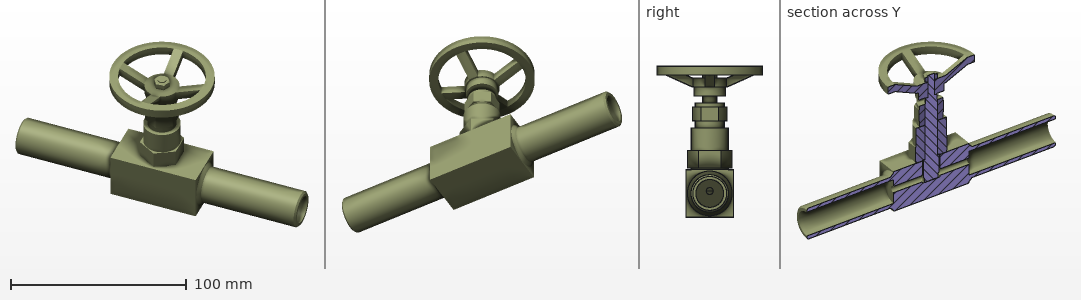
import cadquery as cq
import math

overall_length = 172.0
block_length = 52.3
block_side = 27.2
pipe_diameter = 21.3
pipe_bore = 15.8
pipe_end_chamfer = 1.0
weld_size = 2.0
port_diameter = 4.0
port_rise = 1.4
cavity_diameter = 12.0
cavity_floor = 12.0

bonnet_diameter = 21.3
bonnet_hex_flats = 22.0
bonnet_hex_bottom = 28.0
bonnet_hex_top = 38.0
bonnet_top = 50.9

gland_diameter = 16.7
gland_hex_flats = 17.0
gland_hex_bottom = 54.9
gland_hex_top = 62.8
gland_top = 65.0

overall_height = 86.0
wheel_diameter = 60.0
rim_inner_diameter = 49.9
rim_height = 5.2
hub_diameter = 20.0
hub_drop = 6.7
boss_diameter = 18.0
boss_height = 5.2
spoke_width = 5.7
spoke_count = 4

nut_flats = 8.0
nut_height = 3.6
nut_face_diameter = 7.7
nut_turn = 5.0
nut_bevel_angle = 30.0

stem_diameter = 8.0
stem_collar_diameter = 11.0
stem_tip_diameter = 9.8
stud_diameter = 5.0
stud_protrusion = 0.9

flats_along_x = 30

pipe_axis = block_side / 2
port_axis = pipe_axis + port_rise
rim_bottom = overall_height - rim_height
hub_top = overall_height - hub_drop
hub_bottom = hub_top - rim_height
boss_bottom = hub_bottom - boss_height
nut_top = hub_top + nut_height
stud_top = nut_top + stud_protrusion


def cylinder_z(diameter, bottom, top):
    return cq.Workplane("XY").workplane(offset=bottom).circle(diameter / 2).extrude(top - bottom)


def cylinder_x(diameter, start, end, level):
    plane = cq.Workplane("YZ", origin=(start, 0, level))
    return plane.circle(diameter / 2).extrude(end - start)


def across_corners(across_flats):
    """Corner-to-corner width of a hexagon, from its width across flats."""
    return across_flats / math.cos(math.radians(30))


def hexagon_z(across_flats, bottom, top, turn):
    """Hexagonal prism about Z; a turn of zero points two corners along X."""
    outline = cq.Workplane("XY").workplane(offset=bottom).polygon(6, across_corners(across_flats))
    return outline.extrude(top - bottom).rotate((0, 0, 0), (0, 0, 1), turn)


def make_weld():
    """Conical weld bead around the pipe root on the +X face of the block."""
    pipe_radius = pipe_diameter / 2
    bead = cq.Workplane("XZ", origin=(block_length / 2, 0, pipe_axis))
    bead = bead.polyline([(0, 0), (0, pipe_radius + weld_size), (weld_size, pipe_radius), (weld_size, 0)])
    return bead.close().revolve(360, (0, 0), (1, 0))


def make_body():
    half_length = overall_length / 2
    half_block = block_length / 2
    block = cq.Workplane("XY").box(block_length, block_side, block_side, centered=(True, True, False))
    pipe = cylinder_x(pipe_diameter, -half_length, half_length, pipe_axis)
    pipe = pipe.faces("<X or >X").chamfer(pipe_end_chamfer)
    weld = make_weld()
    body = block.union(pipe).union(weld).union(weld.mirror("YZ"))
    for start, end in ((-half_length, -half_block), (half_block, half_length)):
        body = body.cut(cylinder_x(pipe_bore, start, end, pipe_axis))
    body = body.cut(cylinder_x(port_diameter, -half_block, half_block, port_axis))
    return body.cut(cylinder_z(cavity_diameter, cavity_floor, block_side))


def make_bonnet():
    bonnet = cylinder_z(bonnet_diameter, block_side, bonnet_top)
    bonnet = bonnet.union(hexagon_z(bonnet_hex_flats, bonnet_hex_bottom, bonnet_hex_top, flats_along_x))
    return bonnet.cut(cylinder_z(stem_diameter, block_side, bonnet_top))


def make_gland_nut():
    gland = cylinder_z(gland_diameter, bonnet_top, gland_top)
    gland = gland.union(hexagon_z(gland_hex_flats, gland_hex_bottom, gland_hex_top, flats_along_x))
    return gland.cut(cylinder_z(stem_diameter, bonnet_top, gland_top))


def make_stem():
    """Stem with a collar and a tip in the cavity and a thin stud through the wheel."""
    tip = cylinder_z(stem_tip_diameter, cavity_floor, port_axis)
    collar = cylinder_z(stem_collar_diameter, port_axis, block_side)
    shank = cylinder_z(stem_diameter, block_side, boss_bottom)
    stud = cylinder_z(stud_diameter, boss_bottom, stud_top)
    return tip.union(collar).union(shank).union(stud)


def make_spoke():
    """Sloping spoke along +X; its ends are sunk into the hub and the rim."""
    hub_radius = hub_diameter / 2
    rim_radius = rim_inner_diameter / 2
    sunk_hub_radius = hub_radius / 2
    sunk_rim_radius = (rim_radius + wheel_diameter / 2) / 2
    profile = [
        (sunk_hub_radius, hub_bottom),
        (hub_radius, hub_bottom),
        (rim_radius, rim_bottom),
        (sunk_rim_radius, rim_bottom),
        (sunk_rim_radius, overall_height),
        (rim_radius, overall_height),
        (hub_radius, hub_top),
        (sunk_hub_radius, hub_top),
    ]
    return cq.Workplane("XZ").polyline(profile).close().extrude(spoke_width / 2, both=True)


def make_handwheel():
    rim = cylinder_z(wheel_diameter, rim_bottom, overall_height)
    rim = rim.cut(cylinder_z(rim_inner_diameter, rim_bottom, overall_height))
    wheel = cylinder_z(hub_diameter, hub_bottom, hub_top)
    wheel = wheel.union(cylinder_z(boss_diameter, boss_bottom, hub_bottom))
    spoke = make_spoke()
    for index in range(spoke_count):
        wheel = wheel.union(spoke.rotate((0, 0, 0), (0, 0, 1), index * 360 / spoke_count))
    wheel = wheel.union(rim)
    return wheel.cut(cylinder_z(stud_diameter, boss_bottom, hub_top))


def make_nut_cone():
    """Cone-topped cylinder that bevels the upper corners of the wheel nut."""
    top_radius = nut_face_diameter / 2
    corner_radius = across_corners(nut_flats) / 2
    bevel_height = (corner_radius - top_radius) * math.tan(math.radians(nut_bevel_angle))
    profile = [
        (0, hub_top),
        (corner_radius, hub_top),
        (corner_radius, nut_top - bevel_height),
        (top_radius, nut_top),
        (0, nut_top),
    ]
    return cq.Workplane("XZ").polyline(profile).close().revolve(360, (0, 0), (0, 1))


def make_wheel_nut():
    nut = hexagon_z(nut_flats, hub_top, nut_top, nut_turn)
    nut = nut.intersect(make_nut_cone())
    return nut.cut(cylinder_z(stud_diameter, hub_top, nut_top))


body = make_body()
bonnet = make_bonnet()
gland_nut = make_gland_nut()
stem = make_stem()
handwheel = make_handwheel()
wheel_nut = make_wheel_nut()

result = cq.Compound.makeCompound([
    body.val(),
    bonnet.val(),
    gland_nut.val(),
    stem.val(),
    handwheel.val(),
    wheel_nut.val(),
])